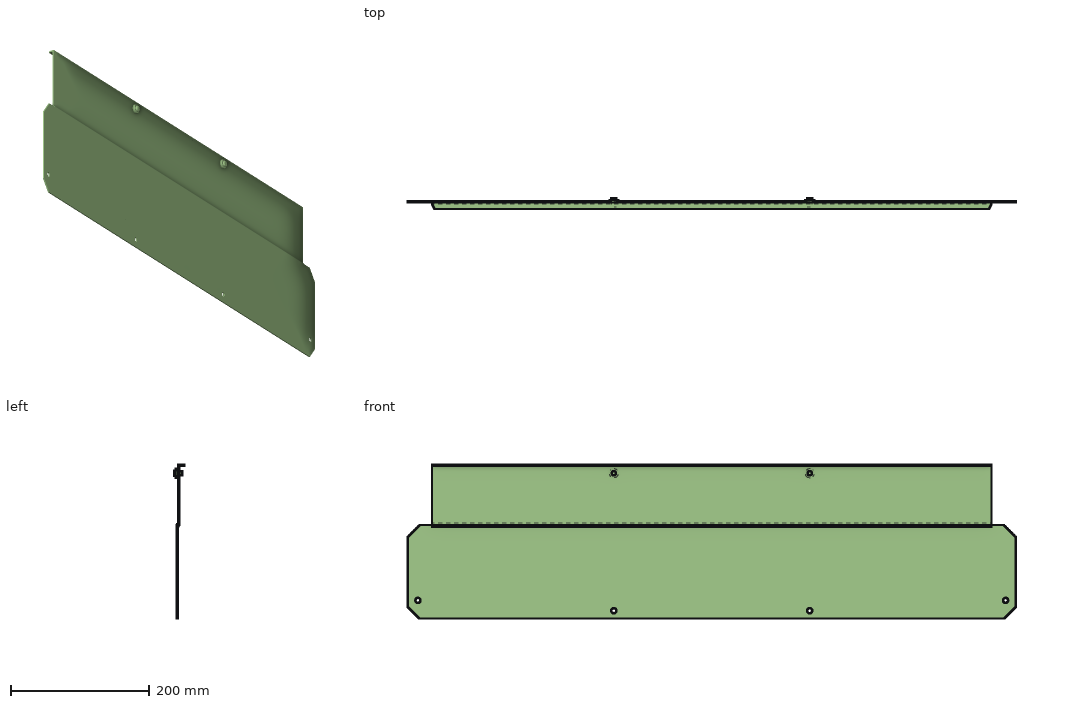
import cadquery as cq

length = 879.0
depth = 16.0
height = 222.0
sheet = 2.0

plate_height = 135.0
top_corner_cut = 18.0
bottom_corner_cut = 17.0
hole_diameter = 7.0
hole_pitch = 283.0
inner_hole_height = 11.0
outer_hole_height = 26.0

panel_length = 809.0
flange_end_cut = 3.5
step_rise = 3.0

screw_drop = 12.0
shank_diameter = 6.0
collar_diameter = 13.0
collar_height = 3.5
head_diameter = 8.0
head_height = 6.0
shank_projection = 4.0

panel_front = -sheet
flange_front = head_height - depth
screw_height = height - screw_drop
inner_hole_x = hole_pitch / 2
outer_hole_x = inner_hole_x + hole_pitch
sides = (-1, 1)


def make_plate():
    half = length / 2
    outline = [
        (-half + bottom_corner_cut, 0),
        (half - bottom_corner_cut, 0),
        (half, bottom_corner_cut),
        (half, plate_height - top_corner_cut),
        (half - top_corner_cut, plate_height),
        (-half + top_corner_cut, plate_height),
        (-half, plate_height - top_corner_cut),
        (-half, bottom_corner_cut),
    ]
    hole_centers = []
    for side in sides:
        hole_centers.append((side * inner_hole_x, inner_hole_height))
        hole_centers.append((side * outer_hole_x, outer_hole_height))
    plate = cq.Workplane("XZ").polyline(outline).close().extrude(-sheet)
    holes = cq.Workplane("XZ").pushPoints(hole_centers).circle(hole_diameter / 2).extrude(-sheet)
    return plate.cut(holes)


def make_panel():
    """Upright sheet whose foot slopes back onto the top edge of the plate."""
    step_top = plate_height + step_rise
    profile = [
        (sheet, plate_height - step_rise),
        (sheet, plate_height),
        (0, step_top),
        (0, height),
        (panel_front, height),
        (panel_front, plate_height),
        (0, plate_height - step_rise),
    ]
    return cq.Workplane("YZ").polyline(profile).close().extrude(panel_length / 2, both=True)


def make_flange():
    back_half = panel_length / 2
    front_half = back_half - flange_end_cut
    return (
        cq.Workplane("XY", origin=(0, 0, height - sheet))
        .polyline([
            (-back_half, panel_front),
            (back_half, panel_front),
            (front_half, flange_front),
            (-front_half, flange_front),
        ])
        .close()
        .extrude(sheet)
    )


def make_screw(x):
    """Stepped round head behind the panel and a shank reaching out in front of it."""
    center = cq.Workplane("XZ", origin=(x, 0, screw_height))
    collar = center.circle(collar_diameter / 2).extrude(-collar_height)
    head = center.circle(head_diameter / 2).extrude(-head_height)
    shank = center.circle(shank_diameter / 2).extrude(sheet + shank_projection)
    return collar.union(head).union(shank)


result = make_plate().union(make_panel()).union(make_flange())
for side in sides:
    result = result.union(make_screw(side * inner_hole_x))